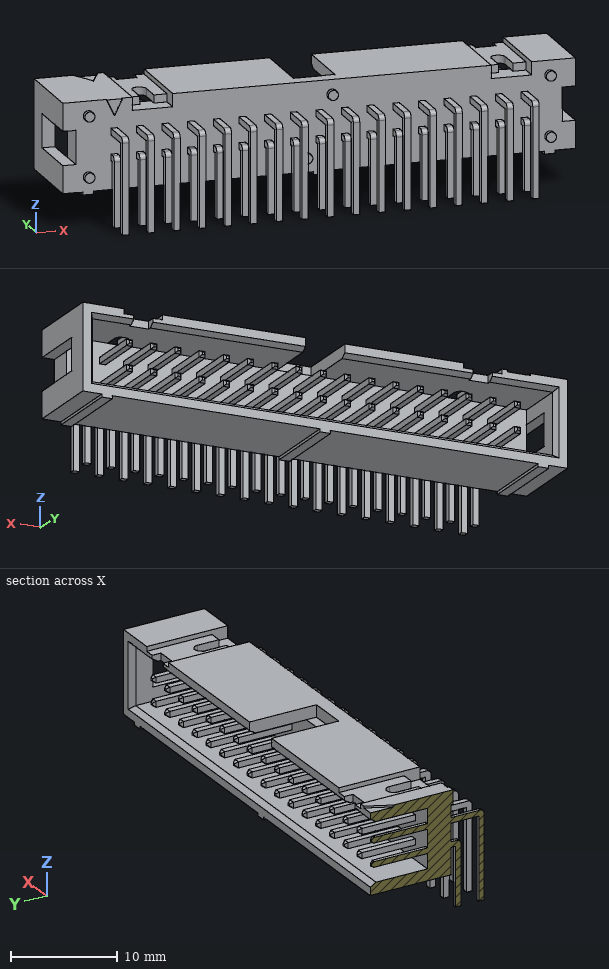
import cadquery as cq


PITCH = 2.54
COLUMNS = 17
PIN_SIZE = 0.64
PIN_BEND_RADIUS = 0.5
PIN_TIP_LENGTH = 0.3
PIN_TIP_INSET = 0.2
PIN_TIP_SETBACK = 0.1

LENGTH = 50.8
OVERALL_DEPTH = 12.52
OVERALL_HEIGHT = 12.4
BODY_DEPTH = 8.9
BODY_HEIGHT = 8.9
TOP = BODY_HEIGHT / 2
BOTTOM = -TOP
PIN_FOOT = TOP - OVERALL_HEIGHT
OUTER_LEG_Y = BODY_DEPTH - OVERALL_DEPTH + PIN_SIZE / 2
INNER_LEG_Y = OUTER_LEG_Y + PITCH

WALL = 1.3
BASE_THICKNESS = 2.65
FLARE_LENGTH = 0.6
FLARE_WIDTH = 0.4

WINDOW_HEIGHT = 3.35
WINDOW_RIM = 2.5

KEY_WIDTH = 4.1
KEY_LENGTH = 7.35

CHANNEL_WIDTH = 4.0
CHANNEL_DEPTH = 0.5
CHANNEL_CENTERS = (-6.5 * PITCH, 7.5 * PITCH)
STEP_LENGTH = 1.75
LATCH_SLOT_WIDTH = 1.4
LATCH_SLOT_END_Y = 4.8
MOUTH_NOTCH_WIDTH = 2.0
MOUTH_NOTCH_LENGTH = 0.95

STUD_DIAMETER = 1.0
STUD_HEIGHT = 0.45
STUD_Z = 3.0
OUTER_STUD_X = 9 * PITCH
RIB_WIDTH = 1.1
RIB_HEIGHT = 0.3

PIN_ONE_X = -(COLUMNS - 1) / 2 * PITCH
TOP_MARK_WIDTH = 2.4
TOP_MARK_LENGTH = 2.5
FACE_MARK_WIDTH = 1.55
FACE_MARK_LENGTH = 1.6
MARK_THICKNESS = 0.2


def block(x_center, width, y_start, y_end, z_start, z_end):
    """Box centred on x_center, given by its Y and Z limits."""
    return (
        cq.Workplane("XY")
        .box(width, y_end - y_start, z_end - z_start, centered=(True, False, False))
        .translate((x_center, y_start, z_start))
    )


def cavity():
    """Pocket between the walls, flared at the mouth."""
    pocket = block(0, LENGTH - 2 * WALL, BASE_THICKNESS, BODY_DEPTH, BOTTOM + WALL, TOP - WALL)
    flare = (
        cq.Workplane("XZ", origin=(0, BODY_DEPTH, 0))
        .rect(LENGTH - 2 * (WALL - FLARE_WIDTH), BODY_HEIGHT - 2 * (WALL - FLARE_WIDTH))
        .workplane(offset=FLARE_LENGTH)
        .rect(LENGTH - 2 * WALL, BODY_HEIGHT - 2 * WALL)
        .loft()
    )
    return pocket.union(flare)


def end_window(side):
    """Slot through an end wall, open toward the solder face."""
    x_center = side * (LENGTH - WALL) / 2
    half_height = WINDOW_HEIGHT / 2
    return block(x_center, WALL, 0, BODY_DEPTH - WINDOW_RIM, -half_height, half_height)


def key_opening():
    return block(0, KEY_WIDTH, BODY_DEPTH - KEY_LENGTH, BODY_DEPTH, TOP - WALL, TOP)


def latch_channel(x_center):
    """Shallow channel with a deeper step, a round-ended slot and a mouth notch."""
    floor = TOP - WALL
    slot_radius = LATCH_SLOT_WIDTH / 2
    slot_center_y = LATCH_SLOT_END_Y - slot_radius
    slot_end = (
        cq.Workplane("XY", origin=(x_center, slot_center_y, floor))
        .circle(slot_radius)
        .extrude(WALL)
    )
    return (
        block(x_center, CHANNEL_WIDTH, 0, BODY_DEPTH, TOP - CHANNEL_DEPTH, TOP)
        .union(block(x_center, CHANNEL_WIDTH, 0, STEP_LENGTH, floor, TOP))
        .union(block(x_center, LATCH_SLOT_WIDTH, 0, slot_center_y, floor, TOP))
        .union(slot_end)
        .union(block(x_center, MOUTH_NOTCH_WIDTH, BODY_DEPTH - MOUTH_NOTCH_LENGTH, BODY_DEPTH, floor, TOP))
    )


def top_mark():
    """Engraved triangle on the top, its base on the mouth edge."""
    return (
        cq.Workplane("XY", origin=(PIN_ONE_X, BODY_DEPTH, TOP))
        .moveTo(-TOP_MARK_WIDTH / 2, 0)
        .lineTo(TOP_MARK_WIDTH / 2, 0)
        .lineTo(0, -TOP_MARK_LENGTH)
        .close()
        .extrude(-MARK_THICKNESS)
    )


def face_mark():
    """Raised triangle on the solder face, its base on the top edge."""
    return (
        cq.Workplane("XZ", origin=(PIN_ONE_X, 0, TOP))
        .moveTo(-FACE_MARK_WIDTH / 2, 0)
        .lineTo(FACE_MARK_WIDTH / 2, 0)
        .lineTo(0, -FACE_MARK_LENGTH)
        .close()
        .extrude(MARK_THICKNESS)
    )


def studs():
    upper = [(x, STUD_Z) for x in (-OUTER_STUD_X, PITCH / 2, OUTER_STUD_X)]
    lower = [(x, -STUD_Z) for x in (-OUTER_STUD_X, -PITCH / 2, OUTER_STUD_X)]
    return (
        cq.Workplane("XZ")
        .pushPoints(upper + lower)
        .circle(STUD_DIAMETER / 2)
        .extrude(STUD_HEIGHT)
    )


def housing():
    body = block(0, LENGTH, 0, BODY_DEPTH, BOTTOM, TOP).cut(cavity())
    for side in (-1, 1):
        body = body.cut(end_window(side))
    for x in CHANNEL_CENTERS:
        body = body.cut(latch_channel(x))
    body = body.cut(key_opening()).cut(top_mark())
    for x in (-OUTER_STUD_X, 0, OUTER_STUD_X):
        body = body.union(block(x, RIB_WIDTH, 0, BODY_DEPTH, BOTTOM - RIB_HEIGHT, BOTTOM))
    return body.union(studs()).union(face_mark())


def bent_pin(row_z, leg_y):
    """Square pin with a tapered mating tip and a leg bent down outside the solder face."""
    half = PIN_SIZE / 2
    tip_y = BODY_DEPTH - PIN_TIP_SETBACK
    shank = block(0, PIN_SIZE, leg_y - half, tip_y - PIN_TIP_LENGTH, row_z - half, row_z + half)
    leg = block(0, PIN_SIZE, leg_y - half, leg_y + half, PIN_FOOT, row_z + half)
    tip_width = PIN_SIZE - 2 * PIN_TIP_INSET
    tip = (
        cq.Workplane("XZ", origin=(0, tip_y, row_z))
        .rect(tip_width, tip_width)
        .workplane(offset=PIN_TIP_LENGTH)
        .rect(PIN_SIZE, PIN_SIZE)
        .loft()
    )
    bend = shank.union(leg).edges("|X and <Y and >Z").fillet(PIN_BEND_RADIUS)
    return bend.union(tip)


def pins():
    """All pins as one list of solids: the upper row has the outer legs."""
    pair = [bent_pin(PITCH / 2, OUTER_LEG_Y), bent_pin(-PITCH / 2, INNER_LEG_Y)]
    solids = []
    for column in range(COLUMNS):
        x = PIN_ONE_X + column * PITCH
        for pin in pair:
            solids.append(pin.translate((x, 0, 0)).val())
    return solids


result = cq.Workplane(obj=housing().val().fuse(*pins()))